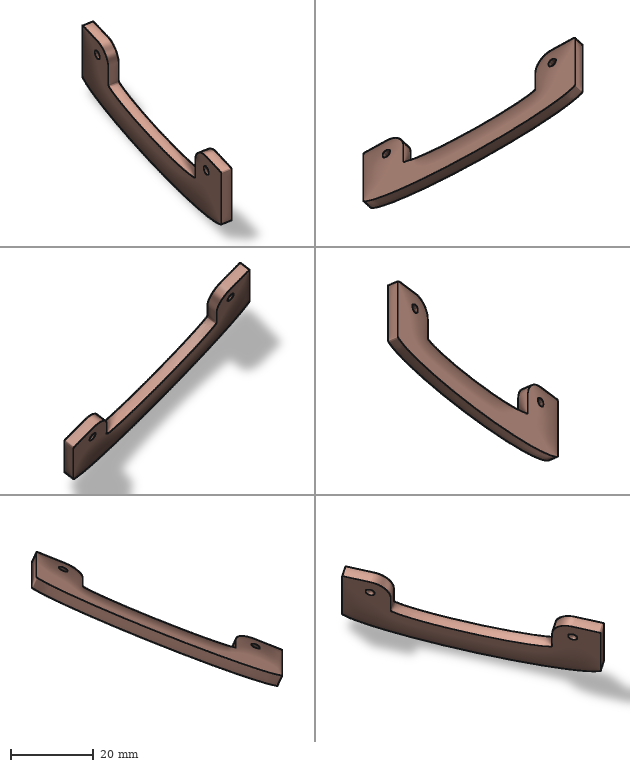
import cadquery as cq

length = 65.0
thickness = 3.0
height = 20.5
half_length = length / 2

lug_width = 12.3
lug_round_radius = 5.0
top_corner_radius = 0.5
hole_diameter = 2.3
hole_from_end = 7.1
hole_from_top = 4.4

grip_depth = 7.9
lower_bow_axes = (33.5, 5.15)
upper_bow_axes = (21.3, 2.9)
grip_corner_radius = 0.5
bottom_corner_radius = 0.65
bow_steps = 12

inner_x = half_length - lug_width


def bow_rise(axes, x):
    """Height of an elliptical bow above its lowest point, at distance x from the middle."""
    half_width, depth = axes
    return depth * (1 - (1 - (x / half_width) ** 2) ** 0.5)


def bow_points(axes, bottom, end_x):
    """Evenly spaced points along a bow, from -end_x to +end_x."""
    points = []
    for step in range(-bow_steps, bow_steps + 1):
        x = end_x * step / bow_steps
        points.append((x, bottom + bow_rise(axes, x)))
    return points


def round_edge_pair(solid, x, z, radius):
    """Round the two mirrored edges that run through the thickness at (+x, z) and (-x, z)."""
    for side in (-1, 1):
        nearest = cq.selectors.NearestToPointSelector((side * x, 0, z))
        solid = solid.edges("|Y").edges(nearest).fillet(radius)
    return solid


lower_bow = bow_points(lower_bow_axes, 0, half_length)
upper_bow = bow_points(upper_bow_axes, grip_depth, inner_x)
handle = (
    cq.Workplane("XZ", origin=(0, thickness / 2, 0))
    .moveTo(*lower_bow[0])
    .spline(lower_bow[1:], includeCurrent=True)
    .lineTo(half_length, height)
    .lineTo(inner_x, height)
    .lineTo(*upper_bow[-1])
    .spline(upper_bow[-2::-1], includeCurrent=True)
    .lineTo(-inner_x, height)
    .lineTo(-half_length, height)
    .close()
    .extrude(thickness)
)

handle = round_edge_pair(handle, inner_x, height, lug_round_radius)
handle = round_edge_pair(handle, half_length, height, top_corner_radius)
handle = round_edge_pair(handle, *upper_bow[-1], grip_corner_radius)
handle = round_edge_pair(handle, *lower_bow[-1], bottom_corner_radius)

hole_x = half_length - hole_from_end
hole_z = height - hole_from_top
holes = (
    cq.Workplane("XZ")
    .pushPoints([(-hole_x, hole_z), (hole_x, hole_z)])
    .circle(hole_diameter / 2)
    .extrude(thickness, both=True)
)

result = handle.cut(holes)